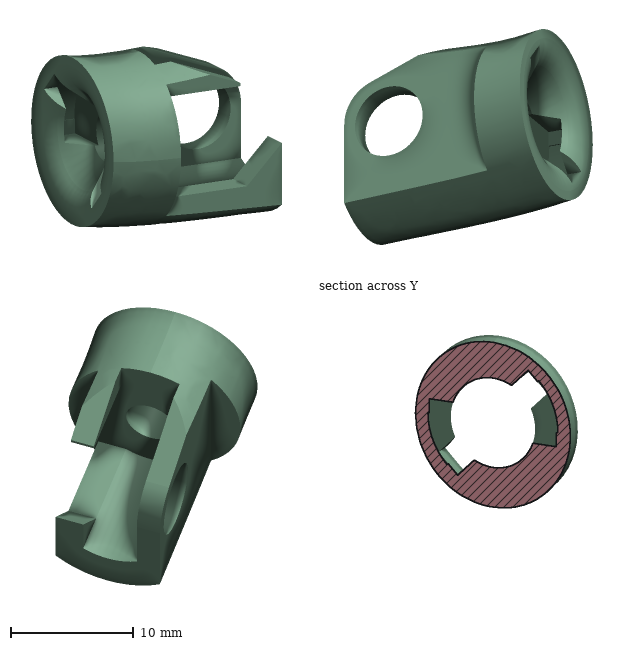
import cadquery as cq
import math

LENGTH = 17.06
MOUTH_RADIUS = 7.11

SOCKET_LENGTH = 6.3
FORK_HALF_WIDTH = 4.52
LEFT_FLAT_START = 4.16
GAP_HALF_WIDTH = 2.52
TROUGH_RADIUS = 5.03
SIDE_FLOOR_X = 2.12
SIDE_FLOOR_Z = -math.sqrt(TROUGH_RADIUS**2 - SIDE_FLOOR_X**2)
RAMP_START = 13.82
RAMP_RISE = LENGTH - RAMP_START
RAIL_END = 13.2
RAIL_UNDERSIDE = 4.05

PIN_RADIUS = 3.05
PIN_Y = 13.03
EYE_RADIUS = 3.58
EYE_Y = LENGTH - EYE_RADIUS
EYE_Z = 0.38
TOP_SLOPE = 20.8

BELL_RADIUS = 6.36
THROAT_RADIUS = 4.23
BORE_RADIUS = 2.12
CONE_ANGLE = 45.0
KEY_DEPTH = 3.36
KEY_HALF_LENGTH = 5.77
KEY_WIDTH = 2.45
LOCK_TURN = 45.0
LOCK_OPENING_RADIUS = 3.84

OVERCUT = 1.7
FAR = 2 * LENGTH


def box(x_range, y_range, z_range):
    sizes = [high - low for low, high in (x_range, y_range, z_range)]
    corner = cq.Vector(x_range[0], y_range[0], z_range[0])
    return cq.Workplane("XY").box(*sizes, centered=False).translate(corner)


def xz_plane(y):
    """Sketch plane across the axis whose extrusions run toward +Y; its local x is -X."""
    return cq.Workplane(cq.Plane((0, y, 0), xDir=(-1, 0, 0), normal=(0, 1, 0)))


def outer_body():
    sections = (
        (0.0, MOUTH_RADIUS, MOUTH_RADIUS, 0.0),
        (SOCKET_LENGTH, 7.1, 7.27, -0.5),
        (11.09, 7.32, 7.49, -0.45),
        (LENGTH, 7.68, 7.66, -0.4),
    )
    wires = []
    for y, half_width, half_height, center_z in sections:
        major, minor = max(half_width, half_height), min(half_width, half_height)
        long_axis = cq.Vector(0, 0, 1) if half_height > half_width else cq.Vector(1, 0, 0)
        center = cq.Vector(0, y, center_z)
        ellipse = cq.Edge.makeEllipse(
            major, minor, center, cq.Vector(0, 1, 0), xdir=long_axis, sense=1
        )
        wires.append(cq.Wire.assembleEdges([ellipse]))
    return cq.Workplane(obj=cq.Solid.makeLoft(wires))


def side_outline():
    """Limit the fork to a sloped top running tangent into the rounded eye."""
    slope = math.radians(TOP_SLOPE)
    tangent_y = EYE_Y + EYE_RADIUS * math.sin(slope)
    tangent_z = EYE_Z + EYE_RADIUS * math.cos(slope)
    middle = math.radians(90 - TOP_SLOPE) / 2
    return (
        cq.Workplane("YZ", origin=(-LENGTH, 0, 0))
        .moveTo(0, -LENGTH)
        .lineTo(LENGTH, -LENGTH)
        .lineTo(LENGTH, EYE_Z)
        .threePointArc(
            (EYE_Y + EYE_RADIUS * math.cos(middle), EYE_Z + EYE_RADIUS * math.sin(middle)),
            (tangent_y, tangent_z),
        )
        .lineTo(0, tangent_z + tangent_y * math.tan(slope))
        .close()
        .extrude(FAR)
    )


def fork_cuts(body):
    fork_y = (SOCKET_LENGTH, LENGTH + OVERCUT)
    full_z = (-LENGTH, LENGTH)
    left_flat = box((-LENGTH, -FORK_HALF_WIDTH), (LEFT_FLAT_START, fork_y[1]), full_z)
    right_flat = box((FORK_HALF_WIDTH, LENGTH), fork_y, full_z)

    gap_sides = box((-GAP_HALF_WIDTH, SIDE_FLOOR_X), fork_y, full_z)
    above_trough = xz_plane(SOCKET_LENGTH).circle(TROUGH_RADIUS).extrude(LENGTH)
    above_trough = above_trough.union(box((-LENGTH, LENGTH), fork_y, (0, LENGTH)))
    gap = gap_sides.intersect(above_trough)
    gap = gap.union(box((0, GAP_HALF_WIDTH), fork_y, (0, LENGTH)))

    right_opening = (
        cq.Workplane("YZ", origin=(SIDE_FLOOR_X, 0, 0))
        .moveTo(SOCKET_LENGTH, SIDE_FLOOR_Z)
        .lineTo(RAMP_START, SIDE_FLOOR_Z)
        .lineTo(LENGTH, SIDE_FLOOR_Z + RAMP_RISE)
        .lineTo(LENGTH, LENGTH)
        .lineTo(RAIL_END, LENGTH)
        .lineTo(RAIL_END, RAIL_UNDERSIDE)
        .lineTo(SOCKET_LENGTH, RAIL_UNDERSIDE)
        .close()
        .extrude(LENGTH)
    )
    pin_hole = cq.Workplane("YZ").center(PIN_Y, 0).circle(PIN_RADIUS).extrude(-LENGTH)
    for cutter in (left_flat, right_flat, gap, right_opening, pin_hole):
        body = body.cut(cutter)
    return body


CONE = math.radians(CONE_ANGLE)
BELL_CURVE = (BELL_RADIUS - THROAT_RADIUS) / math.cos(CONE)
THROAT_Y = BELL_CURVE * (1 - math.sin(CONE))


def cone_depth(radius):
    return THROAT_Y + (THROAT_RADIUS - radius) / math.tan(CONE)


def bell_and_bore():
    """Flared mouth, tangent cone and through bore."""
    half_turn = (math.pi / 2 - CONE) / 2
    return (
        cq.Workplane("XY")
        .lineTo(BELL_RADIUS, 0)
        .threePointArc(
            (
                BELL_RADIUS - BELL_CURVE * math.sin(half_turn),
                BELL_CURVE * (1 - math.cos(half_turn)),
            ),
            (THROAT_RADIUS, THROAT_Y),
        )
        .lineTo(BORE_RADIUS, cone_depth(BORE_RADIUS))
        .lineTo(BORE_RADIUS, SOCKET_LENGTH + OVERCUT)
        .lineTo(0, SOCKET_LENGTH + OVERCUT)
        .close()
        .revolve(360, (0, 0, 0), (0, 1, 0))
    )


def bayonet():
    """Key slot through the bell, with an undercut for turning the key to horizontal."""
    key_radius = math.hypot(KEY_HALF_LENGTH, KEY_WIDTH / 2)
    lock_start = cone_depth(LOCK_OPENING_RADIUS)
    lock_height = KEY_DEPTH - lock_start
    key = xz_plane(0).rect(2 * KEY_HALF_LENGTH, KEY_WIDTH).extrude(KEY_DEPTH)
    locked_key = xz_plane(lock_start).rect(2 * KEY_HALF_LENGTH, KEY_WIDTH).extrude(lock_height)
    slot = key.rotate((0, 0, 0), (0, 1, 0), LOCK_TURN).union(locked_key)

    turn = math.radians(LOCK_TURN)
    for side in (1, -1):
        sweep = (
            xz_plane(lock_start)
            .lineTo(side * key_radius, 0)
            .threePointArc(
                (side * key_radius * math.cos(turn / 2), side * key_radius * math.sin(turn / 2)),
                (side * key_radius * math.cos(turn), side * key_radius * math.sin(turn)),
            )
            .close()
            .extrude(lock_height)
        )
        slot = slot.union(sweep)
    return slot


body = outer_body().intersect(side_outline())
result = fork_cuts(body)
result = result.cut(bell_and_bore()).cut(bayonet())